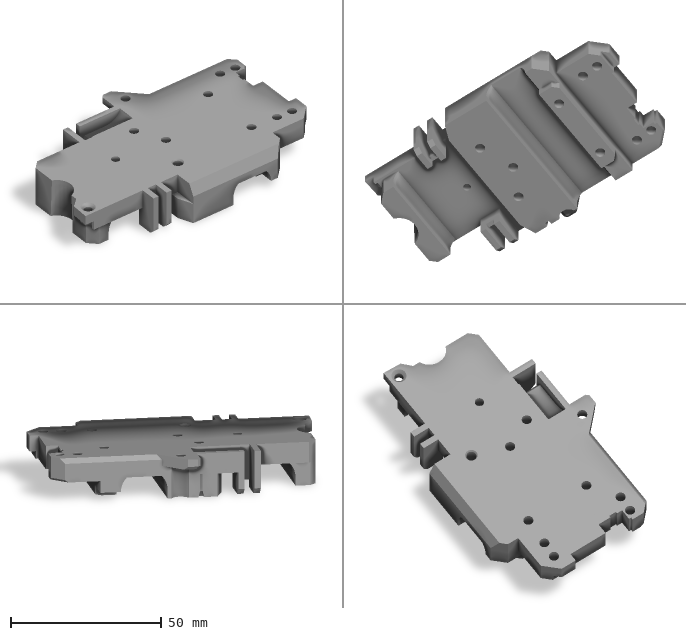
import cadquery as cq
import math

TOTAL_HEIGHT = 15.0
PLATE_BOTTOM = 7.9
HEAD_BOTTOM = 7.0
TAB_BOTTOM = 9.6
EAR_BOTTOM = 11.35
LEG_STEP = 3.0

LEFT_SIDE = 7.5
RIGHT_SIDE = 59.5
TAIL_LEFT = 16.5
TAIL_RIGHT = 51.0
TAIL_CORNER = 2.7
WEB_LEFT = 16.8
HEAD_RIGHT = 51.3
FIN_RIGHT = 56.9

LENGTH = 96.2
TAIL_END = 3.5
MIDDLE_LEG_FRONT = 36.3
SHOULDER_FRONT = 38.6
MIDDLE_LEG_BACK = 55.4
REAR_LEG_FRONT = 71.2
REAR_LEG_BACK = 78.1
HEAD_END = 94.1
FRONT_LEG_BACK = 10.6
FIN_THICKNESS = 2.1
FRONT_FIN = 24.0
BACK_FIN = 29.4

POCKET_LEFT = 9.5
POCKET_BACK = 46.3
POCKET_FLOOR = 10.4
POCKET_CURVE_END = 39.7
POCKET_LIP = [(30.3, 8.8), (BACK_FIN, 7.1)]

ARCH_RADIUS = 6.9
ARCH_RISE = PLATE_BOTTOM - LEG_STEP
ARCH_RUN = ARCH_RADIUS - math.sqrt(ARCH_RADIUS**2 - ARCH_RISE**2)

HOLE_DIAMETER = 3.4
COUNTERSUNK_HOLE = (45.5, 42.9)
HOLE_CENTRES = [
    (14.6, 90.7),
    (45.6, 90.7),
    (14.2, 84.7),
    (45.2, 84.7),
    (21.0, 74.5),
    (44.5, 74.5),
    (33.0, 47.5),
    (22.5, 42.2),
    COUNTERSUNK_HOLE,
]
SIDE_EAR_HOLE = (6.3, 51.2)
SIDE_EAR_CLEARANCE = 3.2
COUNTERSINK_DIAMETER = 4.1
COUNTERSINK_DEPTH = 0.6
FIN_HOLE = (31.5, 27.6)
FIN_HOLE_DIAMETER = 3.1
FIN_HOLE_STEP = 10.6
FIN_HOLE_NARROW = 2.6
CORNER_HOLE = (47.4, 3.8)
CORNER_HOLE_DIAMETER = 3.0
CORNER_SINK_DIAMETER = 5.0
CORNER_SINK_DEPTH = 1.1
RECESS_DIAMETER = 5.3
RECESS_LEFT = 43.4
RECESS_BOTTOM = 6.9


def prism(points, bottom, top):
    """Plan outline extruded between two heights."""
    return cq.Workplane("XY").workplane(offset=bottom).polyline(points).close().extrude(top - bottom)


def block(x0, x1, y0, y1, z0, z1):
    """Box given by its two limits on each axis."""
    return cq.Workplane("XY").box(x1 - x0, y1 - y0, z1 - z0, centered=False).translate((x0, y0, z0))


def cylinder(centre, diameter, bottom, top):
    """Upright cylinder."""
    return cq.Workplane("XY").workplane(offset=bottom).center(*centre).circle(diameter / 2).extrude(top - bottom)


def cone(centre, bottom_radius, top_radius, bottom, top):
    """Upright cone frustum."""
    solid = cq.Solid.makeCone(bottom_radius, top_radius, top - bottom, cq.Vector(*centre, bottom))
    return cq.Workplane(obj=solid)


def side_wedge(points, start, end):
    """(y, z) outline extruded along X."""
    return cq.Workplane("YZ").workplane(offset=start).polyline(points).close().extrude(end - start)


LEFT_CORNER = 4.0
SHOULDER_CORNER = 4.1
REAR_EDGE = 93.2
REAR_NOTCH = 89.2
NOTCH_RELIEF = 88.5
TAB_LEFT = 40.6
TAB_END_RIGHT = 46.3
TAB_ROOT_RIGHT = TAB_END_RIGHT + LENGTH - HEAD_END
SHOULDER = [
    (TAIL_RIGHT, SHOULDER_FRONT),
    (RIGHT_SIDE, SHOULDER_FRONT),
    (RIGHT_SIDE, REAR_LEG_BACK - SHOULDER_CORNER),
    (RIGHT_SIDE - SHOULDER_CORNER, REAR_LEG_BACK),
]
HEAD = [
    (HEAD_RIGHT, REAR_LEG_BACK),
    (HEAD_RIGHT, HEAD_END - (HEAD_RIGHT - TAB_ROOT_RIGHT)),
    (TAB_ROOT_RIGHT, HEAD_END),
    (TAB_LEFT, HEAD_END),
    (TAB_LEFT, REAR_EDGE),
    (26.4, REAR_EDGE),
    (26.4, REAR_NOTCH),
    (21.55, REAR_NOTCH),
    (21.55, NOTCH_RELIEF),
    (18.9, NOTCH_RELIEF),
    (18.9, REAR_NOTCH),
    (16.8, REAR_NOTCH),
    (16.8, REAR_EDGE),
    (16.0, REAR_EDGE),
    (16.0, HEAD_END),
    (LEFT_SIDE + LEFT_CORNER, HEAD_END),
    (LEFT_SIDE, HEAD_END - LEFT_CORNER),
]
TAIL = [
    (LEFT_SIDE, BACK_FIN),
    (TAIL_LEFT, BACK_FIN),
    (TAIL_LEFT, TAIL_END + TAIL_CORNER),
    (TAIL_LEFT + TAIL_CORNER, TAIL_END),
    (TAIL_RIGHT, TAIL_END),
]


def make_plate():
    plate = prism(TAIL + SHOULDER + HEAD, PLATE_BOTTOM, TOTAL_HEIGHT)
    head_skirt = prism([(LEFT_SIDE, REAR_LEG_BACK)] + HEAD, HEAD_BOTTOM, PLATE_BOTTOM)
    skirt_drop = PLATE_BOTTOM - HEAD_BOTTOM
    corner_bevel = (
        cq.Workplane("XZ")
        .polyline([(0, 0), (skirt_drop, 0), (0, skirt_drop)])
        .close()
        .extrude(4 * LEFT_CORNER, both=True)
        .rotate((0, 0, 0), (0, 0, 1), -45)
        .translate((LEFT_SIDE + LEFT_CORNER / 2, HEAD_END - LEFT_CORNER / 2, HEAD_BOTTOM))
    )
    rear_tab = prism(
        [
            (TAB_LEFT, HEAD_END),
            (TAB_ROOT_RIGHT, HEAD_END),
            (TAB_END_RIGHT, LENGTH),
            (TAB_LEFT, LENGTH),
        ],
        TAB_BOTTOM,
        TOTAL_HEIGHT,
    )
    return plate.union(head_skirt.cut(corner_bevel)).union(rear_tab)


def bevel_sides(body):
    """Sloped upper edges of the plate's left and right sides."""
    left_bevel = 1.5
    left_bevel_front = 51.0
    right_run = 2.1
    right_drop = 4.1
    left = (
        cq.Workplane("XZ")
        .polyline([
            (LEFT_SIDE, TOTAL_HEIGHT - left_bevel),
            (LEFT_SIDE + left_bevel, TOTAL_HEIGHT),
            (LEFT_SIDE, TOTAL_HEIGHT),
        ])
        .close()
        .extrude(-LENGTH)
        .intersect(block(0, TAIL_LEFT, left_bevel_front, LENGTH, 0, TOTAL_HEIGHT))
    )
    right = (
        cq.Workplane("XZ")
        .polyline([
            (RIGHT_SIDE, TOTAL_HEIGHT - right_drop),
            (RIGHT_SIDE - right_run, TOTAL_HEIGHT),
            (RIGHT_SIDE, TOTAL_HEIGHT),
        ])
        .close()
        .extrude(-LENGTH)
    )
    return body.cut(left).cut(right)


def arch_side(y, toward):
    """Filler between a leg face at y and the plate; toward is +1 or -1 along Y."""
    middle_angle = math.asin(ARCH_RISE / ARCH_RADIUS) / 2
    middle = (
        y + toward * ARCH_RADIUS * (1 - math.cos(middle_angle)),
        LEG_STEP + ARCH_RADIUS * math.sin(middle_angle),
    )
    return (
        cq.Workplane("YZ")
        .moveTo(y, LEG_STEP)
        .threePointArc(middle, (y + toward * ARCH_RUN, PLATE_BOTTOM))
        .lineTo(y, PLATE_BOTTOM)
        .close()
    )


def make_rear_leg():
    foot_inset = 8.2
    foot_corner = 1.8
    leg = prism(
        [
            (LEFT_SIDE, REAR_LEG_FRONT),
            (RIGHT_SIDE, REAR_LEG_FRONT),
            (RIGHT_SIDE, REAR_LEG_BACK - SHOULDER_CORNER),
            (RIGHT_SIDE - SHOULDER_CORNER, REAR_LEG_BACK),
            (LEFT_SIDE, REAR_LEG_BACK),
        ],
        LEG_STEP,
        PLATE_BOTTOM,
    )
    foot = block(
        LEFT_SIDE + foot_inset, RIGHT_SIDE - foot_inset, REAR_LEG_FRONT, REAR_LEG_BACK, 0, LEG_STEP
    )
    foot = foot.edges("|Z and >Y").chamfer(foot_corner)
    arch = arch_side(REAR_LEG_FRONT, -1).extrude(RIGHT_SIDE - LEFT_SIDE).translate((LEFT_SIDE, 0, 0))
    return leg.union(foot).union(arch)


def make_middle_leg():
    taper = 5.6
    leg = prism(
        [
            (LEFT_SIDE, SHOULDER_FRONT),
            (LEFT_SIDE + taper, MIDDLE_LEG_FRONT),
            (RIGHT_SIDE - taper, MIDDLE_LEG_FRONT),
            (RIGHT_SIDE, SHOULDER_FRONT),
            (RIGHT_SIDE, MIDDLE_LEG_BACK),
            (LEFT_SIDE, MIDDLE_LEG_BACK),
        ],
        0,
        PLATE_BOTTOM,
    )
    arch = arch_side(MIDDLE_LEG_BACK, 1).extrude(RIGHT_SIDE - LEFT_SIDE).translate((LEFT_SIDE, 0, 0))
    slit_middle = 44.1
    slit_width = 1.0
    slit_depth = 0.5
    flare_width = 1.8
    flare_height = 1.9
    flare_depth = 1.4
    slit = side_wedge(
        [
            (slit_middle - slit_width / 2, 0),
            (slit_middle - slit_width / 2, PLATE_BOTTOM),
            (slit_middle + slit_width / 2, PLATE_BOTTOM),
            (slit_middle + slit_width / 2, 0),
        ],
        LEFT_SIDE,
        LEFT_SIDE + slit_depth,
    )
    flare = side_wedge(
        [
            (slit_middle - flare_width / 2, 0),
            (slit_middle - slit_width / 2, flare_height),
            (slit_middle + slit_width / 2, flare_height),
            (slit_middle + flare_width / 2, 0),
        ],
        LEFT_SIDE,
        LEFT_SIDE + flare_depth,
    )
    return leg.union(arch).cut(slit).cut(flare)


def make_front_leg():
    inset = 0.6
    left = TAIL_LEFT + inset
    right = 49.8
    right_corner = 3.1
    leg = prism(
        [
            (left, FRONT_LEG_BACK),
            (left, TAIL_END + TAIL_CORNER - inset),
            (TAIL_LEFT + TAIL_CORNER, TAIL_END),
            (right - right_corner, TAIL_END),
            (right, TAIL_END + right_corner),
            (right, FRONT_LEG_BACK),
        ],
        0,
        PLATE_BOTTOM,
    )
    arch = arch_side(FRONT_LEG_BACK, 1).extrude(right - left).translate((left, 0, 0))
    return leg.union(arch)


def make_fins():
    left_chamfer = 2.2
    right_chamfer = 1.7
    relief_left = 18.5
    relief_right = 49.0
    fins = block(WEB_LEFT, TAIL_RIGHT, FRONT_FIN, BACK_FIN + FIN_THICKNESS, LEG_STEP, TOTAL_HEIGHT)
    for front in (FRONT_FIN, BACK_FIN):
        fin = (
            cq.Workplane("XZ", origin=(0, front, 0))
            .polyline([
                (LEFT_SIDE + left_chamfer, 0),
                (FIN_RIGHT - right_chamfer, 0),
                (FIN_RIGHT, right_chamfer),
                (FIN_RIGHT, TOTAL_HEIGHT),
                (LEFT_SIDE, TOTAL_HEIGHT),
                (LEFT_SIDE, left_chamfer),
            ])
            .close()
            .extrude(-FIN_THICKNESS)
        )
        fins = fins.union(fin)
    relief = block(
        relief_left, relief_right, FRONT_FIN, BACK_FIN + FIN_THICKNESS, 0, PLATE_BOTTOM
    )
    return fins.cut(relief)


def web_gap():
    """Strip left of the web, between the two fins."""
    return block(TAIL_LEFT, WEB_LEFT, FRONT_FIN + FIN_THICKNESS, BACK_FIN, 0, TOTAL_HEIGHT)


def make_pocket():
    """Open-fronted pocket: elliptical back wall, flat floor and a lip falling away at the front."""
    width = TAIL_LEFT - POCKET_LEFT
    side = cq.Workplane("YZ", origin=(POCKET_LEFT, 0, 0))
    back = (
        side.center(POCKET_CURVE_END, TOTAL_HEIGHT)
        .ellipse(POCKET_BACK - POCKET_CURVE_END, TOTAL_HEIGHT - POCKET_FLOOR)
        .extrude(width)
    )
    front = side_wedge(
        [
            (POCKET_CURVE_END, TOTAL_HEIGHT),
            (POCKET_CURVE_END, POCKET_FLOOR),
            (BACK_FIN + FIN_THICKNESS, POCKET_FLOOR),
        ]
        + POCKET_LIP
        + [(BACK_FIN, TOTAL_HEIGHT)],
        POCKET_LEFT,
        TAIL_LEFT,
    )
    return back.union(front)


def make_side_ear():
    ear_front = 45.5
    ear_back = 49.8
    plate_overlap = 1.5
    corner = 1.0
    bevel = 1.2
    ear = prism(
        [
            (0, ear_back),
            (0, ear_front + corner),
            (corner, ear_front),
            (TAIL_LEFT, ear_front),
            (TAIL_LEFT, ear_back + LEFT_SIDE + plate_overlap),
            (LEFT_SIDE + plate_overlap, ear_back + LEFT_SIDE + plate_overlap),
        ],
        EAR_BOTTOM,
        TOTAL_HEIGHT,
    )
    front_and_side = cq.selectors.BoxSelector(
        (0 - corner, ear_front - corner, EAR_BOTTOM - corner),
        (TAIL_LEFT, ear_back - corner, EAR_BOTTOM + corner),
    )
    return ear.edges(front_and_side).chamfer(bevel)


def make_corner_ear():
    gusset = 1.0
    outline = [
        (41.4, TAIL_END),
        (44.3, 0.3),
        (TAIL_RIGHT, 0),
        (TAIL_RIGHT, TAIL_END),
    ]
    ear = prism(outline, EAR_BOTTOM, TOTAL_HEIGHT)
    root = side_wedge(
        [
            (TAIL_END, EAR_BOTTOM),
            (TAIL_END - gusset, EAR_BOTTOM),
            (TAIL_END, EAR_BOTTOM - gusset),
        ],
        outline[0][0],
        RECESS_LEFT,
    )
    return ear.union(root.intersect(prism(outline, 0, TOTAL_HEIGHT)))


def make_scoop():
    """Tapered round bay in the front end, wider at the underside."""
    centre = (33.5, 1.4)
    bottom_radius = 6.35
    top_radius = 5.7
    return cone(centre, bottom_radius, top_radius, 0, TOTAL_HEIGHT)


def make_corner_hole():
    """Countersunk hole through the corner ear, opening into a recess below it."""
    sink = cone(
        CORNER_HOLE,
        CORNER_HOLE_DIAMETER / 2,
        CORNER_SINK_DIAMETER / 2,
        TOTAL_HEIGHT - CORNER_SINK_DEPTH,
        TOTAL_HEIGHT,
    )
    return sink.union(cylinder(CORNER_HOLE, CORNER_HOLE_DIAMETER, EAR_BOTTOM, TOTAL_HEIGHT))


def make_corner_recess():
    """Round recess under the corner ear, open to the front, with a floor rising backwards at 45 degrees."""
    step = block(RECESS_LEFT, TAIL_RIGHT, 0, CORNER_HOLE[1], 0, EAR_BOTTOM)
    recess = cylinder(CORNER_HOLE, RECESS_DIAMETER, 0, EAR_BOTTOM).union(step)
    headroom = EAR_BOTTOM - RECESS_BOTTOM
    above_floor = side_wedge(
        [
            (0, RECESS_BOTTOM),
            (TAIL_END, RECESS_BOTTOM),
            (TAIL_END + headroom, EAR_BOTTOM),
            (0, EAR_BOTTOM),
        ],
        RECESS_LEFT,
        CORNER_HOLE[0] + RECESS_DIAMETER / 2,
    )
    return recess.intersect(above_floor)


def drill(body):
    for centre in HOLE_CENTRES + [SIDE_EAR_HOLE]:
        body = body.cut(cylinder(centre, HOLE_DIAMETER, 0, TOTAL_HEIGHT))
    body = body.cut(cylinder(SIDE_EAR_HOLE, 2 * SIDE_EAR_CLEARANCE, 0, EAR_BOTTOM))
    body = body.cut(cylinder(FIN_HOLE, FIN_HOLE_DIAMETER, FIN_HOLE_STEP, TOTAL_HEIGHT))
    body = body.cut(cylinder(FIN_HOLE, FIN_HOLE_NARROW, 0, FIN_HOLE_STEP))
    body = body.cut(
        cone(
            COUNTERSUNK_HOLE,
            HOLE_DIAMETER / 2,
            COUNTERSINK_DIAMETER / 2,
            TOTAL_HEIGHT - COUNTERSINK_DEPTH,
            TOTAL_HEIGHT,
        )
    )
    return body.cut(make_corner_hole()).cut(make_corner_recess())


body = bevel_sides(make_plate())
for piece in (make_rear_leg(), make_middle_leg(), make_front_leg(), make_fins()):
    body = body.union(piece)
body = body.cut(web_gap()).cut(make_pocket()).cut(make_scoop())
body = body.union(make_side_ear().cut(make_pocket())).union(make_corner_ear())
result = drill(body)